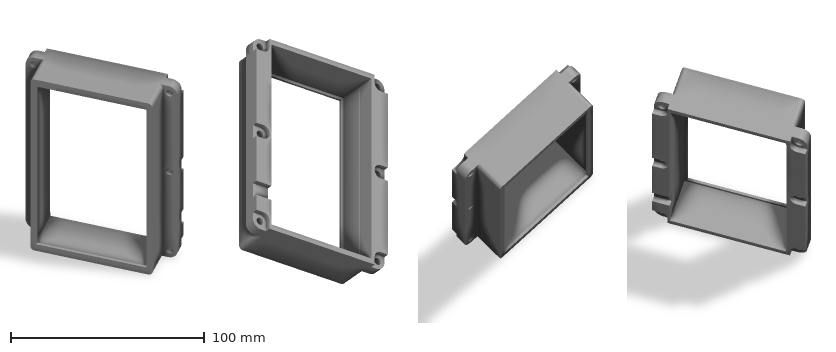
import cadquery as cq

WIDTH = 82.9
DEPTH = 26.7
HEIGHT = 112.3

FLANGE_THICKNESS = 9.5
FLANGE_CORNER_RADIUS = 5.0
BOX_WIDTH = 66.6
BOX_CORNER_RADIUS = 2.2
BOX_CENTRE_X = 0.3

WINDOW_WIDTH = 60.0
WINDOW_HEIGHT = 103.5
LIP_THICKNESS = 1.5
CAVITY_MARGIN = 1.5
SEAT_DEPTH = 11.1
SEAT_SIDE_MARGIN = 0.17
SEAT_CORNER_RADIUS = 2.5

HOLE_DIAMETER = 4.0
HOLE_SIDE_INSET = 4.4
HOLE_END_INSET = 4.6
RECESS_RADIUS = 3.9
RECESS_DEPTH = 3.1

NOTCH_HEIGHT = 8.3
NOTCH_DEPTH = RECESS_DEPTH
NOTCH_CENTRE_Z = -34.6

FLANGE_FRONT_Y = DEPTH - FLANGE_THICKNESS
CAVITY_WIDTH = WINDOW_WIDTH + 2 * CAVITY_MARGIN
CAVITY_HEIGHT = WINDOW_HEIGHT + 2 * CAVITY_MARGIN
SEAT_WIDTH = CAVITY_WIDTH + 2 * SEAT_SIDE_MARGIN
HOLE_X = WIDTH / 2 - HOLE_SIDE_INSET
HOLE_Z = HEIGHT / 2 - HOLE_END_INSET


def block(x_size, z_size, y_start, y_end, x_centre=0.0, z_centre=0.0):
    """Rectangular block spanning y_start to y_end, centred at the given X and Z."""
    y_centre = (y_start + y_end) / 2
    return cq.Workplane("XY").box(x_size, y_end - y_start, z_size).translate((x_centre, y_centre, z_centre))


def rounded_block(x_size, z_size, y_start, y_end, corner_radius, x_centre=0.0):
    """Block centred in Z whose four edges along Y are rounded."""
    return block(x_size, z_size, y_start, y_end, x_centre).edges("|Y").fillet(corner_radius)


def cylinder(diameter, y_start, y_end, x_centre, z_centre):
    """Cylinder along Y."""
    axis_start = cq.Vector(x_centre, y_start, z_centre)
    solid = cq.Solid.makeCylinder(diameter / 2, y_end - y_start, axis_start, cq.Vector(0, 1, 0))
    return cq.Workplane(solid)


def screw_recess(x_side, z_side):
    """Round recess at a screw hole, opened straight out to the flange side, and to the end at a corner."""
    x_centre = x_side * HOLE_X
    z_centre = z_side * HOLE_Z
    y_start = DEPTH - RECESS_DEPTH
    width = 2 * RECESS_RADIUS
    recess = cylinder(width, y_start, DEPTH, x_centre, z_centre)
    side_x = x_side * (HOLE_X + WIDTH / 2) / 2
    recess = recess.union(block(HOLE_SIDE_INSET, width, y_start, DEPTH, side_x, z_centre))
    if z_side:
        end_z = z_side * (HOLE_Z + HEIGHT / 2) / 2
        recess = recess.union(block(width, HOLE_END_INSET, y_start, DEPTH, x_centre, end_z))
        recess = recess.union(block(HOLE_SIDE_INSET, HOLE_END_INSET, y_start, DEPTH, side_x, end_z))
    return recess


def cable_notch():
    """Rectangular notch in the rear edge of the +X wall, from the cavity to the outside."""
    x_inner = BOX_CENTRE_X + CAVITY_WIDTH / 2
    x_outer = WIDTH / 2
    x_centre = (x_inner + x_outer) / 2
    return block(x_outer - x_inner, NOTCH_HEIGHT, DEPTH - NOTCH_DEPTH, DEPTH, x_centre, NOTCH_CENTRE_Z)


def make_housing():
    """Open frame with a screw flange on its two long sides."""
    housing = rounded_block(BOX_WIDTH, HEIGHT, 0, FLANGE_FRONT_Y, BOX_CORNER_RADIUS, BOX_CENTRE_X)
    housing = housing.union(rounded_block(WIDTH, HEIGHT, FLANGE_FRONT_Y, DEPTH, FLANGE_CORNER_RADIUS))
    housing = housing.clean()

    housing = housing.cut(block(WINDOW_WIDTH, WINDOW_HEIGHT, 0, DEPTH, BOX_CENTRE_X))
    housing = housing.cut(block(CAVITY_WIDTH, CAVITY_HEIGHT, LIP_THICKNESS, DEPTH, BOX_CENTRE_X))
    seat_front_y = DEPTH - SEAT_DEPTH
    seat = rounded_block(SEAT_WIDTH, CAVITY_HEIGHT, seat_front_y, DEPTH, SEAT_CORNER_RADIUS, BOX_CENTRE_X)
    housing = housing.cut(seat)

    for x_side in (-1, 1):
        for z_side in (-1, 0, 1):
            hole = cylinder(HOLE_DIAMETER, FLANGE_FRONT_Y, DEPTH, x_side * HOLE_X, z_side * HOLE_Z)
            housing = housing.cut(hole).cut(screw_recess(x_side, z_side))

    return housing.cut(cable_notch()).solids()


housing = make_housing()

result = cq.Compound.makeCompound([housing.val()])